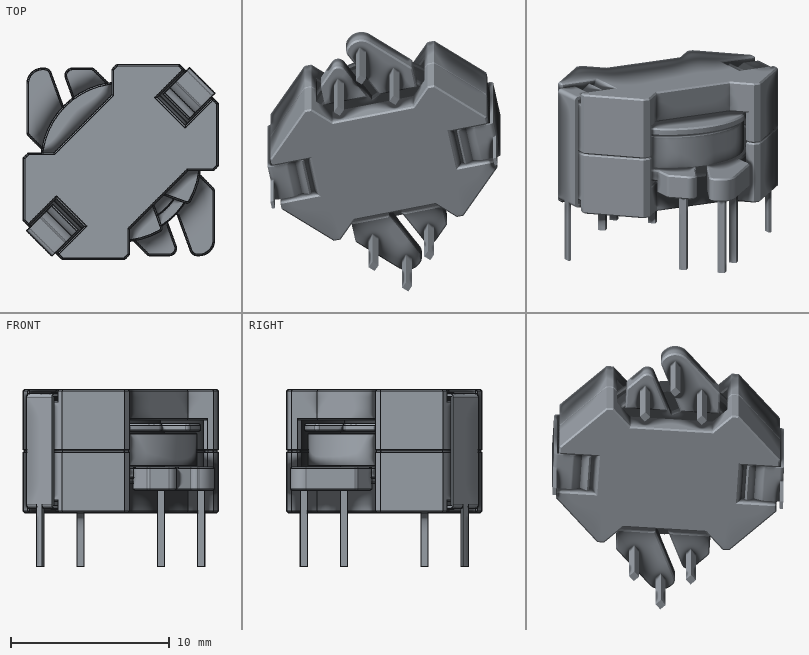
import cadquery as cq
import math


EDGE = 0.1
ROOT2 = math.sqrt(2)

HALF_SIDE = 6.15
CORE_HEIGHT = 7.79
HALF_HEIGHT = CORE_HEIGHT / 2
WING_SIDE = 0.55
WING_BEVEL = 0.31
CORNER_SUM = 9.84
WAIST_SUM = 4.78
CORNER_DISTANCE = CORNER_SUM / ROOT2
WINDOW_HEIGHT = 3.89
WINDOW_WIDTH = 6.97
CAVITY_DIAMETER = 10.47
POST_DIAMETER = 5.0
CLAMP_SLOT_WIDTH = 2.51
CLAMP_SLOT_START = 4.48
CLAMP_SLOT_SLANT = 0.23
CLAMP_SLOT_DEPTH = 0.71

HUB_DIAMETER = 5.5
FLANGE_DIAMETER = 10.09
FLANGE_GAP = 0.22
TOP_FLANGE_THICKNESS = 0.49
BOTTOM_FLANGE_THICKNESS = 0.73
WINDING_DIAMETER = 9.6
WINDING_GAP = 0.1
WINDING_EDGE = 0.05
LAYER_INNER_DIAMETER = 8.13
LAYER_OUTER_DIAMETER = 8.23
NOTCH_HALF_ANGLE = 25.0
NOTCH_APEX = 2.46
NOTCH_FILLET = 0.25

WINDOW_FLOOR = (CORE_HEIGHT - WINDOW_HEIGHT) / 2
WINDOW_ROOF = WINDOW_FLOOR + WINDOW_HEIGHT
BOTTOM_FLANGE_Z = WINDOW_FLOOR + FLANGE_GAP
BOTTOM_FLANGE_TOP = BOTTOM_FLANGE_Z + BOTTOM_FLANGE_THICKNESS
TOP_FLANGE_TOP = WINDOW_ROOF - FLANGE_GAP
TOP_FLANGE_Z = TOP_FLANGE_TOP - TOP_FLANGE_THICKNESS

LUG_REACH = 5.92
LUG_SIDE_SUM = 4.18
LUG_INNER_DIFFERENCE = 5.76
LUG_THICKNESS = 1.5
LUG_CORNER_RADIUS = 0.98
LUG_TIP_RADIUS = 0.47
LUG_SIDE_RADIUS = 0.3
LUG_SLOT_WIDTH = 0.74
LUG_SLOT_ANGLE = 20.0
LUG_SLOT_ORIGIN = 3.08
LUG_SLOT_INWARD = 0.74

PIN_LENGTH = 3.4
PIN_WIDTH = 0.45
PIN_PITCH = 2.53

SHEET = 0.2
CLAMP_WIDTH = 2.26
CLAMP_OUTER = 7.27
CLAMP_INSET = 0.27
CLAMP_BEND_RADIUS = 0.25
HOOK_BEND_START = 6.03
HOOK_VALLEY = 5.5
HOOK_CREST = 5.04
HOOK_BEND_RADIUS = 0.2
HOOK_DROP = 0.31
HOOK_RISE = 0.38
CLAMP_PIN_WIDTH = 0.49


def core_half():
    """Upper half of the core, resting on Z = 0 with its closed side up."""
    bevel_end = HALF_SIDE - WING_BEVEL
    one_side = [
        (-HALF_SIDE, HALF_SIDE - CORNER_SUM),
        (-HALF_SIDE, WING_SIDE - WING_BEVEL),
        (-bevel_end, WING_SIDE),
        (WING_SIDE - WAIST_SUM, WING_SIDE),
        (-WING_SIDE, WAIST_SUM - WING_SIDE),
        (-WING_SIDE, bevel_end),
        (WING_BEVEL - WING_SIDE, HALF_SIDE),
        (CORNER_SUM - HALF_SIDE, HALF_SIDE),
    ]
    outline = one_side + [(-x, -y) for x, y in one_side]
    half = cq.Workplane("XY").polyline(outline).close().extrude(HALF_HEIGHT)

    half = half.rotate((0, 0, 0), (0, 0, 1), -45)
    slot = (
        cq.Workplane("XZ")
        .polyline([
            (CLAMP_SLOT_START, HALF_HEIGHT),
            (CLAMP_SLOT_START + CLAMP_SLOT_SLANT, HALF_HEIGHT - CLAMP_SLOT_DEPTH),
            (CORNER_DISTANCE, HALF_HEIGHT - CLAMP_SLOT_DEPTH),
            (CORNER_DISTANCE, HALF_HEIGHT),
        ])
        .close()
        .extrude(CLAMP_SLOT_WIDTH / 2, both=True)
    )
    half = half.cut(slot).cut(slot.mirror("YZ"))

    roof = WINDOW_HEIGHT / 2
    window = cq.Workplane("XY").rect(WINDOW_WIDTH, 4 * HALF_SIDE).extrude(roof)
    cavity = cq.Workplane("XY").circle(CAVITY_DIAMETER / 2).extrude(roof)
    half = half.cut(window.union(cavity))

    slot_mouths = half.faces(">X or <X").edges(
        cq.selectors.BoxSelector(
            (-2 * HALF_SIDE, -CLAMP_SLOT_WIDTH / 2 - EDGE, EDGE),
            (2 * HALF_SIDE, CLAMP_SLOT_WIDTH / 2 + EDGE, HALF_HEIGHT - EDGE),
        )
    )
    roof_edges = half.edges("%LINE and #Z and (not |Y)").edges(
        cq.selectors.BoxSelector(
            (-2 * HALF_SIDE, -2 * HALF_SIDE, roof - EDGE / 2),
            (2 * HALF_SIDE, 2 * HALF_SIDE, roof + EDGE / 2),
        )
    )
    rims = half.faces(">Z or <Z").edges()
    half = rims.add(slot_mouths).add(roof_edges).chamfer(EDGE)
    half = half.union(cq.Workplane("XY").circle(POST_DIAMETER / 2).extrude(roof))
    return half.rotate((0, 0, 0), (0, 0, 1), 45)


def core():
    upper = core_half().translate((0, 0, HALF_HEIGHT))
    lower = upper.mirror("XY").translate((0, 0, CORE_HEIGHT))
    return upper.union(lower)


def disc(diameter, bottom, top):
    return cq.Workplane("XY").workplane(offset=bottom).circle(diameter / 2).extrude(top - bottom)


def top_flange():
    """Upper flange with a V-notch toward the +X -Y corner."""
    flange = disc(FLANGE_DIAMETER, TOP_FLANGE_Z, TOP_FLANGE_TOP)
    notch_length = FLANGE_DIAMETER / 2
    notch_spread = notch_length * math.tan(math.radians(NOTCH_HALF_ANGLE))
    notch = (
        cq.Workplane("XY")
        .workplane(offset=TOP_FLANGE_Z)
        .polyline([
            (NOTCH_APEX, 0),
            (NOTCH_APEX + notch_length, notch_spread),
            (NOTCH_APEX + notch_length, -notch_spread),
        ])
        .close()
        .extrude(TOP_FLANGE_THICKNESS)
    )
    flange = flange.cut(notch)
    notch_corners = cq.selectors.BoxSelector(
        (HUB_DIAMETER / 2, -notch_spread, TOP_FLANGE_Z),
        (FLANGE_DIAMETER / 2 - EDGE, notch_spread, TOP_FLANGE_TOP),
    )
    flange = flange.edges("|Z").edges(notch_corners).fillet(NOTCH_FILLET)
    flange = flange.faces(">Z or <Z").chamfer(EDGE)
    return flange.rotate((0, 0, 0), (0, 0, 1), -45)


def winding():
    """Wound coil with a shallow groove marking the gap between its layers."""
    bottom = BOTTOM_FLANGE_TOP + WINDING_GAP
    top = TOP_FLANGE_Z - WINDING_GAP
    coil = disc(WINDING_DIAMETER, bottom, top).edges(">Z").chamfer(WINDING_EDGE)
    groove = disc(LAYER_OUTER_DIAMETER, top - EDGE, top).cut(
        disc(LAYER_INNER_DIAMETER, top - EDGE, top)
    )
    return coil.cut(groove)


def lug_slot():
    """Cutter for the gap between the two lugs, from near the waist outward."""
    return (
        cq.Workplane("XY")
        .rect(LUG_SLOT_WIDTH, LUG_REACH)
        .extrude(CORE_HEIGHT / 2)
        .translate((0, LUG_SLOT_INWARD - LUG_REACH / 2, 0))
        .rotate((0, 0, 0), (0, 0, 1), LUG_SLOT_ANGLE)
        .translate((LUG_SLOT_ORIGIN, -LUG_SLOT_ORIGIN, 0))
    )


def lugs():
    """The pair of pin lugs in the +X -Y corner."""
    bottom = BOTTOM_FLANGE_TOP - LUG_THICKNESS
    middle = bottom + LUG_THICKNESS / 2
    inner_near = (LUG_INNER_DIFFERENCE - LUG_SIDE_SUM) / 2
    inner_far = (LUG_INNER_DIFFERENCE + LUG_SIDE_SUM) / 2
    side_corner = LUG_REACH - LUG_SIDE_SUM
    outline = [
        (inner_far, -inner_near),
        (LUG_REACH, -side_corner),
        (LUG_REACH, -LUG_REACH),
        (side_corner, -LUG_REACH),
        (inner_near, -inner_far),
    ]
    block = (
        cq.Workplane("XY").workplane(offset=bottom).polyline(outline).close().extrude(LUG_THICKNESS)
    )
    block = block.cut(lug_slot())

    angle = math.radians(LUG_SLOT_ANGLE)
    mouth_x = LUG_SLOT_ORIGIN + (LUG_REACH - LUG_SLOT_ORIGIN) * math.tan(angle)
    mouth_half = LUG_SLOT_WIDTH / 2 / math.cos(angle)
    rounded_corners = [
        (LUG_REACH, -LUG_REACH, LUG_CORNER_RADIUS),
        (mouth_x - mouth_half, -LUG_REACH, LUG_TIP_RADIUS),
        (mouth_x + mouth_half, -LUG_REACH, LUG_TIP_RADIUS),
        (LUG_REACH, -side_corner, LUG_SIDE_RADIUS),
        (side_corner, -LUG_REACH, LUG_SIDE_RADIUS),
    ]
    for x, y, radius in rounded_corners:
        corner = cq.selectors.NearestToPointSelector((x, y, middle))
        block = block.edges("|Z").edges(corner).fillet(radius)
    return block.faces(">Z or <Z").chamfer(EDGE)


def lug_pins():
    pin_top = BOTTOM_FLANGE_TOP - LUG_THICKNESS / 2
    places = [
        (2 * PIN_PITCH, -2 * PIN_PITCH),
        (2 * PIN_PITCH, -PIN_PITCH),
        (PIN_PITCH, -2 * PIN_PITCH),
    ]
    return (
        cq.Workplane("XY")
        .workplane(offset=-PIN_LENGTH)
        .pushPoints(places)
        .rect(PIN_WIDTH, PIN_WIDTH)
        .extrude(PIN_LENGTH + pin_top)
    )


def bobbin():
    hub = disc(HUB_DIAMETER, BOTTOM_FLANGE_Z, TOP_FLANGE_TOP)
    bottom_flange = disc(FLANGE_DIAMETER, BOTTOM_FLANGE_Z, BOTTOM_FLANGE_TOP).edges().chamfer(EDGE)
    lug_pair = lugs().union(lug_pins())
    for turn in (0, 180):
        slot = lug_slot().rotate((0, 0, 0), (0, 0, 1), turn)
        bottom_flange = bottom_flange.cut(slot)
    for turn in (0, 180):
        bottom_flange = bottom_flange.union(lug_pair.rotate((0, 0, 0), (0, 0, 1), turn))
    return bottom_flange.union(hub).union(winding()).union(top_flange())


def clamp():
    """Clamp on the +X side: a C-shaped strip with sprung hooks and a ground pin."""
    top = CORE_HEIGHT - CLAMP_INSET
    valley = top - HOOK_DROP
    inner = CLAMP_OUTER - SHEET
    fall_angle = math.atan2(HOOK_DROP, HOOK_BEND_START - HOOK_VALLEY)
    rise_angle = math.atan2(HOOK_RISE, HOOK_VALLEY - HOOK_CREST)
    crest = valley + HOOK_RISE
    upper_outside = [
        (CLAMP_OUTER, top),
        (HOOK_BEND_START, top),
        (HOOK_VALLEY, valley),
        (HOOK_CREST, crest),
    ]
    upper_inside = [
        (HOOK_CREST - SHEET * math.sin(rise_angle), crest - SHEET * math.cos(rise_angle)),
        (HOOK_VALLEY, valley - SHEET / math.cos(fall_angle)),
        (HOOK_BEND_START, top - SHEET),
        (inner, top - SHEET),
    ]
    upper = upper_outside + upper_inside
    lower = [(r, CORE_HEIGHT - z) for r, z in reversed(upper)]
    strip = (
        cq.Workplane("XZ")
        .polyline(upper + lower)
        .close()
        .extrude(CLAMP_WIDTH / 2, both=True)
    )
    strip = strip.faces(">X").edges("|Y").fillet(CLAMP_BEND_RADIUS)
    for z in (top, CORE_HEIGHT - top):
        bend = cq.selectors.NearestToPointSelector((HOOK_BEND_START, 0, z))
        strip = strip.edges("|Y").edges(bend).fillet(HOOK_BEND_RADIUS)

    pin_top = CLAMP_INSET + CLAMP_BEND_RADIUS
    pin = (
        cq.Workplane("XY")
        .box(SHEET, CLAMP_PIN_WIDTH, PIN_LENGTH + pin_top, centered=(False, True, False))
        .translate((inner, 0, -PIN_LENGTH))
    )
    return strip.union(pin)


result = core().union(bobbin())
for direction in (45, 225):
    result = result.union(clamp().rotate((0, 0, 0), (0, 0, 1), direction))